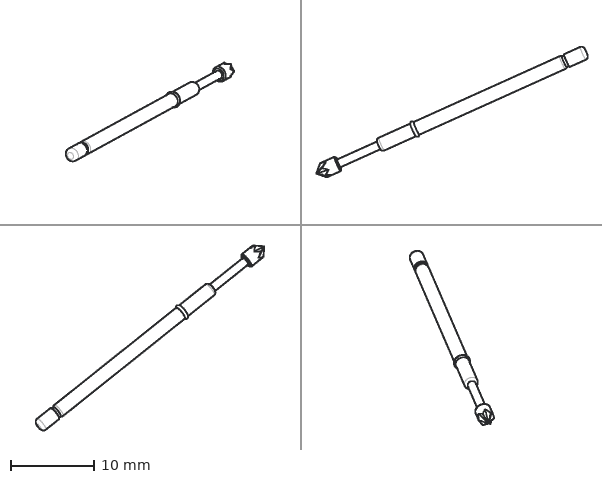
import cadquery as cq
import math

total_length = 35.7

tail_radius = 0.85
tail_length = 2.55
tail_rounding = 0.42

neck_radius = 0.73
neck_length = 0.25

barrel_radius = 0.85
barrel_end = 27.42
barrel_rounding = 0.35

ring_radius = 1.0
ring_section_radius = 0.25
ring_position = 22.65

plunger_radius = 0.52

head_radius = 0.95
head_length = 3.0
head_chamfer = 0.18
star_points = 6
ridge_half_angle = 45.0
valley_half_angle = 30.0

barrel_start = tail_length + neck_length
head_start = total_length - head_length


def cylinder(radius, start, end):
    """Solid cylinder along Y between two stations."""
    return cq.Workplane("XZ", origin=(0, start, 0)).circle(radius).extrude(start - end)


def make_tail():
    plug = cylinder(tail_radius, 0, tail_length)
    return plug.faces("<Y").edges().fillet(tail_rounding)


def make_neck():
    """Neck, carried on into the barrel so that it also meets the barrel's rounded rear edge."""
    return cylinder(neck_radius, tail_length, barrel_start + barrel_rounding)


def make_barrel():
    tube = cylinder(barrel_radius, barrel_start, barrel_end)
    return tube.faces("<Y or >Y").edges().fillet(barrel_rounding)


def make_ring():
    """Circular section revolved about Y, of which only the part outside the barrel stands proud."""
    section_centre = ring_radius - ring_section_radius
    half_width = math.sqrt(ring_section_radius**2 - (barrel_radius - section_centre) ** 2)
    return (
        cq.Workplane("XY")
        .moveTo(0, ring_position - half_width)
        .lineTo(barrel_radius, ring_position - half_width)
        .threePointArc((ring_radius, ring_position), (barrel_radius, ring_position + half_width))
        .lineTo(0, ring_position + half_width)
        .close()
        .revolve(360, (0, 0, 0), (0, 1, 0))
    )


def make_plunger():
    return cylinder(plunger_radius, barrel_end, head_start)


def make_star_pyramid():
    """Star-based pyramid with its apex at the tip and its base at the back of the head."""
    apex = cq.Vector(0, total_length, 0)
    ridge_reach = head_length * math.tan(math.radians(ridge_half_angle))
    valley_reach = head_length * math.tan(math.radians(valley_half_angle))

    corners = []
    for index in range(2 * star_points):
        reach = ridge_reach if index % 2 == 0 else valley_reach
        angle = math.pi * index / star_points
        corners.append(cq.Vector(reach * math.cos(angle), head_start, reach * math.sin(angle)))

    faces = [cq.Face.makeFromWires(cq.Wire.makePolygon(corners, close=True))]
    for index, corner in enumerate(corners):
        facet = [corners[index - 1], corner, apex]
        faces.append(cq.Face.makeFromWires(cq.Wire.makePolygon(facet, close=True)))
    return cq.Workplane(obj=cq.Solid.makeSolid(cq.Shell.makeShell(faces)))


def make_head():
    """Round head whose front is cut to the star pyramid."""
    blank = cylinder(head_radius, head_start, total_length)
    chamfered_blank = blank.faces("<Y").edges().chamfer(head_chamfer)
    return chamfered_blank.intersect(make_star_pyramid())


body = (
    make_tail()
    .union(make_neck())
    .union(make_barrel())
    .union(make_ring())
    .union(make_plunger())
    .union(make_head())
)
result = cq.Workplane(obj=body.val().Solids()[0])